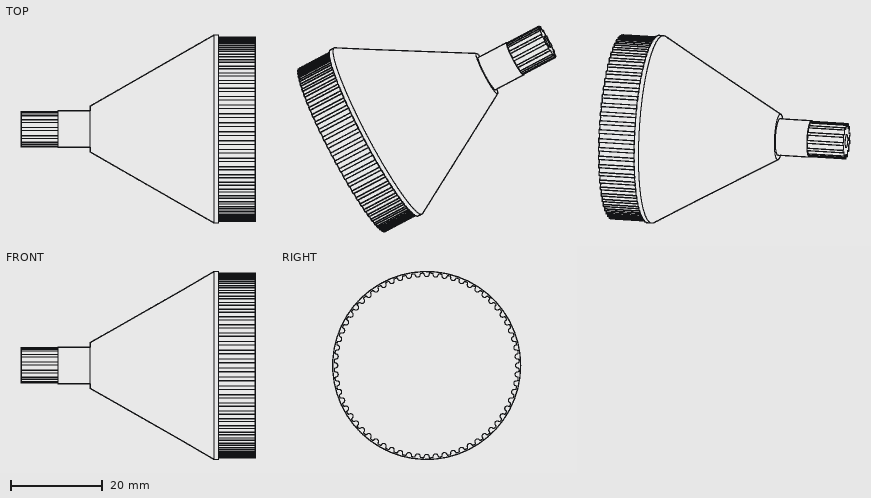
import cadquery as cq
import math

pinion_length = 8.0
shank_length = 7.0
cone_length = 27.0
rim_length = 1.0
wheel_length = 8.0

shank_start = pinion_length
cone_start = shank_start + shank_length
rim_start = cone_start + cone_length
wheel_start = rim_start + rim_length

shank_diameter = 8.0
cone_small_diameter = 10.0
rim_diameter = 41.0
bore_diameter = 2.8
bore_depth = cone_start

belt_pitch = 2.0
pitch_line_offset = 0.254
pinion_teeth = 13
wheel_teeth = 64
groove_depth = 0.764
groove_root_radius = 0.555
mouth_half_width = 0.7
lip_radius = 0.1


def belt_groove(outer_radius, start, length):
    """Cutter for one groove at -Z: rounded lips, steep flanks and a half-round root."""
    lip_z = -math.sqrt(outer_radius**2 - mouth_half_width**2)
    root_z = groove_depth - outer_radius
    root_centre_z = root_z - groove_root_radius
    flank_half_width = mouth_half_width - lip_radius
    lip_middle_y = mouth_half_width - lip_radius * math.sin(math.pi / 4)
    lip_middle_z = lip_z + lip_radius * (1 - math.cos(math.pi / 4))
    below_z = -outer_radius - lip_radius
    return (
        cq.Workplane("YZ", origin=(start, 0, 0))
        .moveTo(-mouth_half_width, below_z)
        .lineTo(-mouth_half_width, lip_z)
        .threePointArc((-lip_middle_y, lip_middle_z), (-flank_half_width, lip_z + lip_radius))
        .lineTo(-groove_root_radius, root_centre_z)
        .threePointArc((0, root_z), (groove_root_radius, root_centre_z))
        .lineTo(flank_half_width, lip_z + lip_radius)
        .threePointArc((lip_middle_y, lip_middle_z), (mouth_half_width, lip_z))
        .lineTo(mouth_half_width, below_z)
        .close()
        .extrude(length)
        .val()
    )


def toothed_section(teeth, start, length):
    """Cylinder along X with evenly spaced belt grooves, the first one at -Z."""
    outer_radius = teeth * belt_pitch / (2 * math.pi) - pitch_line_offset
    groove = belt_groove(outer_radius, start, length)
    grooves = []
    for index in range(teeth):
        angle = index * 360 / teeth
        grooves.append(groove.rotate((0, 0, 0), (1, 0, 0), angle))
    blank = cq.Workplane("YZ", origin=(start, 0, 0)).circle(outer_radius).extrude(length)
    return cq.Workplane(blank.val().cut(*grooves))


def plain_body():
    """Shank, cone and rim as one revolved profile."""
    return (
        cq.Workplane("XY")
        .moveTo(shank_start, 0)
        .lineTo(shank_start, shank_diameter / 2)
        .lineTo(cone_start, shank_diameter / 2)
        .lineTo(cone_start, cone_small_diameter / 2)
        .lineTo(rim_start, rim_diameter / 2)
        .lineTo(wheel_start, rim_diameter / 2)
        .lineTo(wheel_start, 0)
        .close()
        .revolve(360, (0, 0, 0), (1, 0, 0))
    )


def bore():
    """Blind hole on the axis, open at the pinion end."""
    return cq.Workplane("YZ").circle(bore_diameter / 2).extrude(bore_depth)


pinion = toothed_section(pinion_teeth, 0, pinion_length)
wheel = toothed_section(wheel_teeth, wheel_start, wheel_length)

result = plain_body().union(pinion).union(wheel).cut(bore())